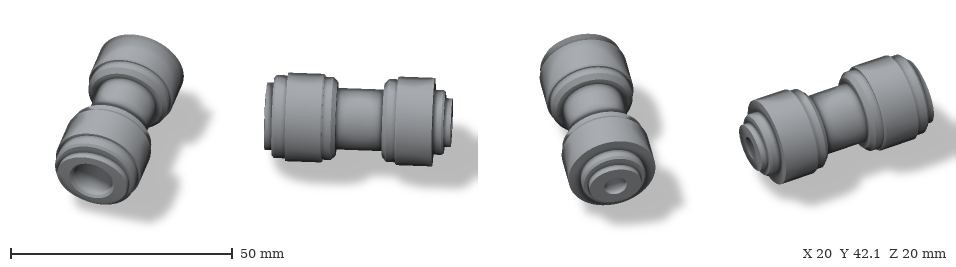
import cadquery as cq

LENGTH = 42.1
FRONT_END = -LENGTH / 2
BACK_END = LENGTH / 2

SLEEVE_RADIUS = 10.0
SHOULDER_RADIUS = 9.367
NECK_RADIUS = 6.95

FRONT_CAP_FACE = -19.25
FRONT_SLEEVE_START = -16.15
FRONT_SLEEVE_END = -7.85
FRONT_SHOULDER_END = -4.9

BACK_SHOULDER_START = 5.65
BACK_SLEEVE_START = 8.67
BACK_SLEEVE_END = 16.95
BACK_CAP_FACE = 19.5
BACK_CAP_RADIUS = 7.33

SHOULDER_CHAMFER = 1.0
SLEEVE_CHAMFER_LENGTH = 0.35
SLEEVE_CHAMFER_DROP = 0.2
CAP_CHAMFER = 0.5
BACK_CAP_CHAMFER_DROP = 0.38

FRONT_COLLET_HALF_X = 8.2
FRONT_COLLET_HALF_Z = 6.95
FRONT_COLLET_CROWN = 0.15
BACK_COLLET_HALF_X = 5.95
BACK_COLLET_HALF_Z = 5.05
COLLET_OVERLAP = 0.4

THROUGH_RADIUS = 2.6
SOCKET_RADIUS = 4.75
SOCKET_MOUTH_RADIUS = 5.25
SOCKET_MOUTH_DEPTH = SOCKET_MOUTH_RADIUS - SOCKET_RADIUS
SOCKET_FLOOR = FRONT_SHOULDER_END - SHOULDER_CHAMFER


def plane_at(station):
    """XZ work plane at a Y station, with its normal along +Y."""
    return cq.Workplane(cq.Plane((0, station, 0), xDir=(1, 0, 0), normal=(0, 1, 0)))


def revolve_about_y(points):
    """Solid of revolution from a closed (radius, station) outline."""
    return cq.Workplane("XY").polyline(points).close().revolve(360, (0, 0, 0), (0, 1, 0))


def make_body():
    """Neck with a stepped, bevelled head at each end."""
    shoulder_bevel_radius = SHOULDER_RADIUS - SHOULDER_CHAMFER
    sleeve_bevel_radius = SLEEVE_RADIUS - SLEEVE_CHAMFER_DROP
    front_head = [
        (0, FRONT_CAP_FACE),
        (SHOULDER_RADIUS - CAP_CHAMFER, FRONT_CAP_FACE),
        (SHOULDER_RADIUS, FRONT_CAP_FACE + CAP_CHAMFER),
        (SHOULDER_RADIUS, FRONT_SLEEVE_START),
        (SLEEVE_RADIUS, FRONT_SLEEVE_START),
        (SLEEVE_RADIUS, FRONT_SLEEVE_END - SLEEVE_CHAMFER_LENGTH),
        (sleeve_bevel_radius, FRONT_SLEEVE_END),
        (SHOULDER_RADIUS, FRONT_SLEEVE_END),
        (SHOULDER_RADIUS, FRONT_SHOULDER_END - SHOULDER_CHAMFER),
        (shoulder_bevel_radius, FRONT_SHOULDER_END),
        (NECK_RADIUS, FRONT_SHOULDER_END),
    ]
    back_head = [
        (NECK_RADIUS, BACK_SHOULDER_START),
        (shoulder_bevel_radius, BACK_SHOULDER_START),
        (SHOULDER_RADIUS, BACK_SHOULDER_START + SHOULDER_CHAMFER),
        (SHOULDER_RADIUS, BACK_SLEEVE_START),
        (sleeve_bevel_radius, BACK_SLEEVE_START),
        (SLEEVE_RADIUS, BACK_SLEEVE_START + SLEEVE_CHAMFER_LENGTH),
        (SLEEVE_RADIUS, BACK_SLEEVE_END),
        (BACK_CAP_RADIUS, BACK_SLEEVE_END),
        (BACK_CAP_RADIUS, BACK_CAP_FACE - CAP_CHAMFER),
        (BACK_CAP_RADIUS - BACK_CAP_CHAMFER_DROP, BACK_CAP_FACE),
        (0, BACK_CAP_FACE),
    ]
    return revolve_about_y(front_head + back_head)


def make_oval(half_x, half_z, start, end):
    """Elliptical prism between two Y stations."""
    return plane_at(start).ellipse(half_x, half_z).extrude(end - start)


def make_front_collet():
    """Oval collar whose end face rises slightly towards the socket mouth."""
    crown_base = FRONT_END + FRONT_COLLET_CROWN
    collar = make_oval(
        FRONT_COLLET_HALF_X, FRONT_COLLET_HALF_Z, crown_base, FRONT_CAP_FACE + COLLET_OVERLAP
    )
    crown = (
        plane_at(FRONT_END)
        .circle(SOCKET_MOUTH_RADIUS)
        .workplane(offset=FRONT_COLLET_CROWN)
        .ellipse(FRONT_COLLET_HALF_X, FRONT_COLLET_HALF_Z)
        .loft(ruled=True)
    )
    return collar.union(crown)


def make_bore():
    """Bevelled front socket running into a narrower through bore."""
    return revolve_about_y([
        (0, FRONT_END),
        (SOCKET_MOUTH_RADIUS, FRONT_END),
        (SOCKET_RADIUS, FRONT_END + SOCKET_MOUTH_DEPTH),
        (SOCKET_RADIUS, SOCKET_FLOOR),
        (THROUGH_RADIUS, SOCKET_FLOOR),
        (THROUGH_RADIUS, BACK_END),
        (0, BACK_END),
    ])


back_collet = make_oval(
    BACK_COLLET_HALF_X, BACK_COLLET_HALF_Z, BACK_CAP_FACE - COLLET_OVERLAP, BACK_END
)
result = make_body().union(make_front_collet()).union(back_collet).cut(make_bore())